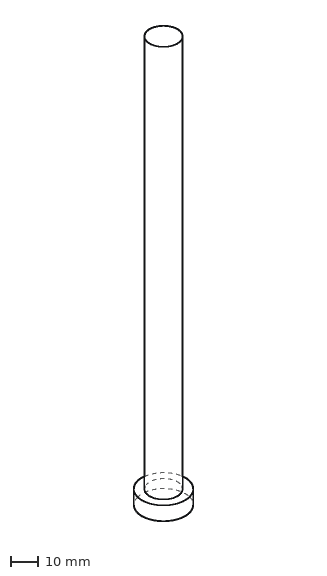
import cadquery as cq

total_length = 207.0
head_diameter = 22.0
head_height = 7.0
shank_diameter = 14.0

head = cq.Workplane("XY").circle(head_diameter / 2).extrude(head_height)
shank = cq.Workplane("XY").circle(shank_diameter / 2).extrude(total_length)

result = head.union(shank)